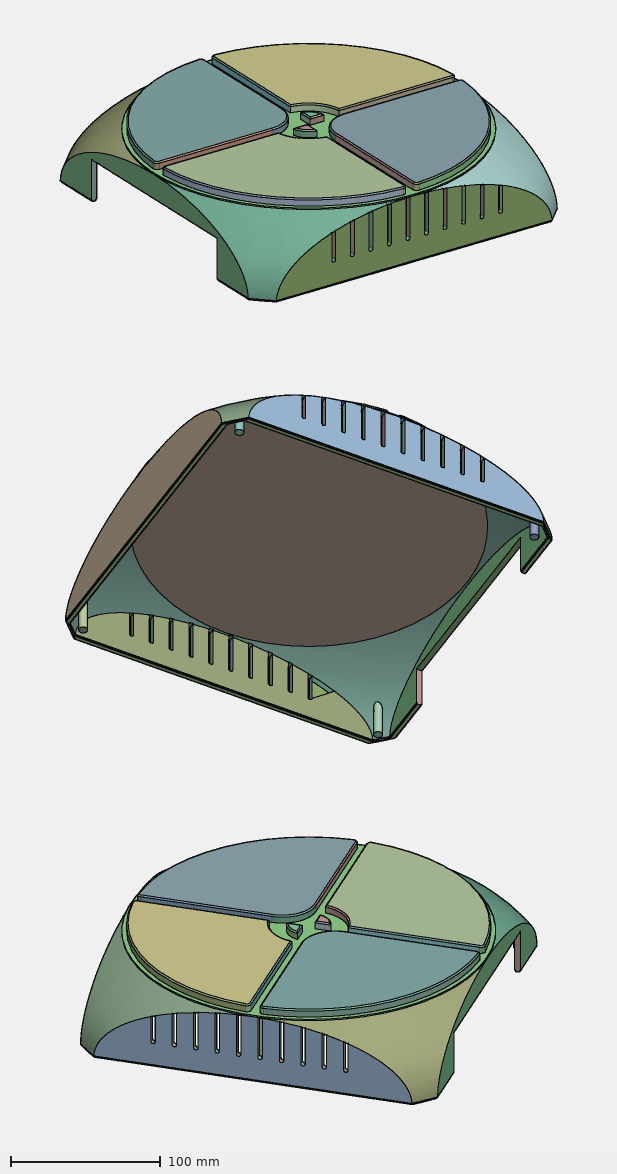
import cadquery as cq
import math

side = 250.0
half_side = side / 2
dome_height = 49.2
arch_half_width = 111.5
wall = 4.2
shell = 2.5
rim_height = 1.0
rim_inset = 0.8

lid_thickness = 1.0
lid_top = dome_height + lid_thickness
pad_radius = 121.8
pad_height = 5.5
pad_gap = 6.5
top_edge = 1.0
pad_tip_radius = 3.0
hub_radius = 26.8
hub_corner_radius = hub_radius - pad_gap / 2
key_radius = 15.0

door_width = 148.5
door_height = 31.2
slot_count = 10
slot_pitch = 15.0
slot_width = 3.0
slot_bottom = 17.5
slot_row_center = 2.5
slot_top_margin = 0.2

foot_diameter = 6.0
foot_drop = 2.0

base_radius = math.hypot(half_side, arch_half_width)
dome_rise = dome_height * base_radius / arch_half_width


def dome(inset):
    """Solid under the ellipsoid, shrunk by inset and cut flat at the lid."""
    radius = base_radius - inset
    rise = dome_rise - inset
    top_angle = math.degrees(math.asin(dome_height / rise))
    return (
        cq.Workplane("XZ")
        .lineTo(radius, 0)
        .ellipseArc(radius, rise, 0, top_angle, startAtCurrent=True)
        .lineTo(0, dome_height)
        .close()
        .revolve(360, (0, 0), (0, 1))
    )


def square_block(width):
    return cq.Workplane("XY").rect(width, width).extrude(dome_height)


def foot_pins(height):
    """Four upright pins below the corners of the arches."""
    return (
        cq.Workplane("XY")
        .workplane(offset=-foot_drop)
        .rect(2 * arch_half_width, 2 * arch_half_width, forConstruction=True)
        .vertices()
        .circle(foot_diameter / 2)
        .extrude(height)
    )


def envelope(side_inset, dome_inset):
    """Domed square block, its flat sides and its curved corners set in separately."""
    return square_block(side - 2 * side_inset).intersect(dome(dome_inset))


def rim_relief():
    """Material taken from both faces of the walls to leave the bottom rim."""
    layer = cq.Workplane("XY").rect(side, side).extrude(rim_height)
    rim_outside = envelope(rim_inset, rim_inset)
    rim_inside = envelope(wall - rim_inset, shell - rim_inset)
    return layer.cut(rim_outside.cut(rim_inside))


def housing():
    """Hollow shell, open below, with posts that carry the feet."""
    outside = envelope(0, 0)
    inside = envelope(wall, shell)
    posts = foot_pins(dome_height).intersect(outside)
    return outside.cut(inside).cut(rim_relief()).union(posts).union(foot_pins(foot_drop))


def door():
    """Rectangular opening through the -Y wall."""
    return (
        cq.Workplane("XY")
        .box(door_width, 2 * wall, door_height, centered=(True, True, False))
        .translate((0, -half_side, 0))
    )


def vent_slots():
    """Upright slots through both X walls, round below and ended by the arch above."""
    slot_top = 2 * dome_height
    first = slot_row_center - slot_pitch * (slot_count - 1) / 2
    centers = [(first + i * slot_pitch, (slot_bottom + slot_top) / 2) for i in range(slot_count)]
    slots = (
        cq.Workplane("YZ")
        .pushPoints(centers)
        .slot2D(slot_top - slot_bottom, slot_width, 90)
        .extrude(half_side, both=True)
    )
    arch = (
        cq.Workplane("YZ")
        .ellipse(arch_half_width - slot_top_margin, dome_height - slot_top_margin)
        .extrude(half_side, both=True)
    )
    return slots.intersect(arch)


def lid():
    return cq.Workplane("XY").workplane(offset=dome_height).circle(half_side).extrude(lid_thickness)


def quarter(radius, height):
    """Quarter disc on the lid, set back by half the gap from both center lines."""
    start = pad_gap / 2
    disc = cq.Workplane("XY").workplane(offset=lid_top).circle(radius).extrude(height)
    corner = (
        cq.Workplane("XY")
        .workplane(offset=lid_top)
        .box(radius, radius, height, centered=False)
        .translate((start, start, 0))
    )
    return disc.intersect(corner)


def pad(scooped):
    """Pad of the +X +Y quadrant, its inner corner scooped out or rounded."""
    inner = cq.selectors.NearestToPointSelector((0, 0, lid_top))
    tips = cq.selectors.InverseSelector(inner)
    body = quarter(pad_radius, pad_height).edges("|Z").edges(tips).fillet(pad_tip_radius)
    if scooped:
        body = body.cut(quarter(hub_radius, pad_height))
    else:
        body = body.edges("|Z").edges(inner).fillet(hub_corner_radius)
    return body.faces(">Z").chamfer(top_edge)


def key():
    """Small quarter-round key inside a scooped corner."""
    return quarter(key_radius, pad_height).faces(">Z").chamfer(top_edge)


def turned(body, angle):
    return body.rotate((0, 0, 0), (0, 0, 1), angle)


result = housing().cut(door()).cut(vent_slots()).union(lid())
for opposite in (0, 180):
    result = result.union(turned(pad(scooped=False), opposite))
    result = result.union(turned(pad(scooped=True), opposite + 90))
    result = result.union(turned(key(), opposite + 90))